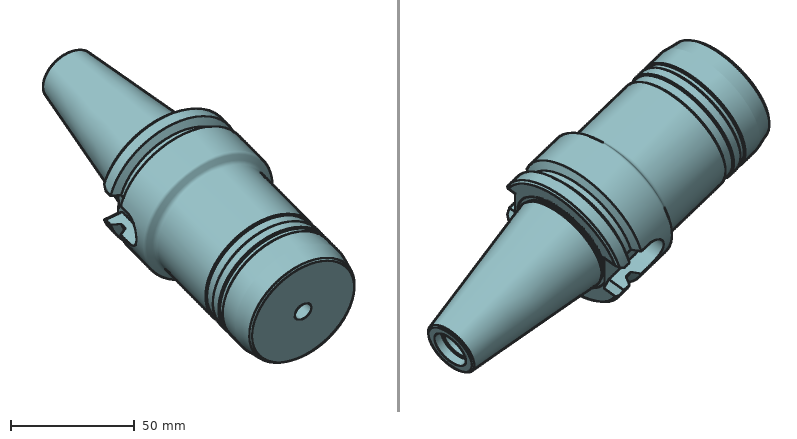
import cadquery as cq
import math


length = 168.2

taper_ratio = 7 / 24
taper_length = 68.0
taper_radius = 22.2
nose_chamfer = 0.7

flange_face = 69.0
relief_floor = 69.5
relief_neck_radius = 21.7
relief_neck_chamfer = 0.5
relief_outer_radius = 23.7

flange_radius = 31.72
flange_chamfer = 1.0
v_groove_center = 79.0
v_groove_floor_width = 3.0
v_groove_floor_radius = 28.1
v_groove_flank_width = (flange_radius - v_groove_floor_radius) * math.tan(math.radians(30))

shoulder_start = 100.0
shoulder_angle = math.radians(60)
shoulder_outer_fillet = 1.7
shoulder_inner_fillet = 2.4

body_radius = 27.51
band_groove_depth = 0.5
band_grooves = ((138.5, 5.2), (147.7, 3.0))
end_taper_start = 159.8
end_taper_radius = 25.9
end_chamfer = 0.8

slot_width = 16.2
slot_arc_center = 87.3
slot_entry_chamfer = 3.0
slot_floor_plus_y = 25.0
slot_floor_minus_y = 22.5

counterbore_radius = 8.4
counterbore_depth = 4.2
pilot_radius = 7.0
pilot_depth = 30.3
through_radius = 4.0
drill_half_angle = math.radians(59)


def draw_shank(profile):
    """Taper, nose chamfer, relief ring and flange face."""
    nose_radius = taper_radius - taper_length * taper_ratio / 2
    chamfer_radius = nose_radius + nose_chamfer * taper_ratio / 2
    return (
        profile.lineTo(0, nose_radius - nose_chamfer)
        .lineTo(nose_chamfer, chamfer_radius)
        .lineTo(taper_length, taper_radius)
        .lineTo(taper_length + relief_neck_chamfer, relief_neck_radius)
        .lineTo(relief_floor, relief_neck_radius)
        .lineTo(relief_floor, relief_outer_radius)
        .lineTo(flange_face, relief_outer_radius)
    )


def draw_flange(profile):
    """Chamfered flange rim interrupted by the V groove."""
    floor_start = v_groove_center - v_groove_floor_width / 2
    floor_end = v_groove_center + v_groove_floor_width / 2
    return (
        profile.lineTo(flange_face, flange_radius - flange_chamfer)
        .lineTo(flange_face + flange_chamfer, flange_radius)
        .lineTo(floor_start - v_groove_flank_width, flange_radius)
        .lineTo(floor_start, v_groove_floor_radius)
        .lineTo(floor_end, v_groove_floor_radius)
        .lineTo(floor_end + v_groove_flank_width, flange_radius)
        .lineTo(shoulder_start, flange_radius)
    )


def draw_shoulder(profile):
    """Convex fillet, 60 degree cone and concave fillet, all tangent."""
    outer = shoulder_outer_fillet
    inner = shoulder_inner_fillet
    sine = math.sin(shoulder_angle)
    cosine = math.cos(shoulder_angle)
    half_sine = math.sin(shoulder_angle / 2)
    half_cosine = math.cos(shoulder_angle / 2)

    cone_start = shoulder_start + outer * sine
    cone_start_radius = flange_radius - outer * (1 - cosine)
    cone_end_radius = body_radius + inner * (1 - cosine)
    cone_end = cone_start + (cone_start_radius - cone_end_radius) / math.tan(shoulder_angle)
    shoulder_end = cone_end + inner * sine

    outer_middle = (shoulder_start + outer * half_sine, flange_radius - outer * (1 - half_cosine))
    inner_middle = (shoulder_end - inner * half_sine, body_radius + inner * (1 - half_cosine))
    return (
        profile.threePointArc(outer_middle, (cone_start, cone_start_radius))
        .lineTo(cone_end, cone_end_radius)
        .threePointArc(inner_middle, (shoulder_end, body_radius))
    )


def draw_body(profile):
    """Cylinder with shallow band grooves, a tapered end and an end chamfer."""
    floor_radius = body_radius - band_groove_depth
    for start, width in band_grooves:
        profile = (
            profile.lineTo(start, body_radius)
            .lineTo(start + band_groove_depth, floor_radius)
            .lineTo(start + width - band_groove_depth, floor_radius)
            .lineTo(start + width, body_radius)
        )
    return (
        profile.lineTo(end_taper_start, body_radius)
        .lineTo(length - end_chamfer, end_taper_radius)
        .lineTo(length, end_taper_radius - end_chamfer)
        .lineTo(length, 0)
    )


def revolve_about_x(profile):
    return profile.close().revolve(360, (0, 0, 0), (1, 0, 0))


def make_turned_body():
    profile = cq.Workplane("XZ").moveTo(0, 0)
    for draw_section in (draw_shank, draw_flange, draw_shoulder, draw_body):
        profile = draw_section(profile)
    return revolve_about_x(profile)


def make_bore():
    """Counterbore, pilot hole with a conical drill end, and through hole."""
    cone_end = pilot_depth + (pilot_radius - through_radius) / math.tan(drill_half_angle)
    profile = (
        cq.Workplane("XY")
        .moveTo(0, 0)
        .lineTo(0, counterbore_radius)
        .lineTo(counterbore_depth, counterbore_radius)
        .lineTo(counterbore_depth, pilot_radius)
        .lineTo(pilot_depth, pilot_radius)
        .lineTo(cone_end, through_radius)
        .lineTo(length, through_radius)
        .lineTo(length, 0)
    )
    return revolve_about_x(profile)


def make_slot(floor, side):
    """Round-ended slot open at the flange face; side is +1 for +Y and -1 for -Y."""
    half_width = slot_width / 2
    entry_half_width = half_width + slot_entry_chamfer
    straight_start = flange_face + slot_entry_chamfer
    outline = (
        cq.Workplane("XZ", origin=(0, side * floor, 0))
        .moveTo(flange_face, -entry_half_width)
        .lineTo(straight_start, -half_width)
        .lineTo(slot_arc_center, -half_width)
        .threePointArc((slot_arc_center + half_width, 0), (slot_arc_center, half_width))
        .lineTo(straight_start, half_width)
        .lineTo(flange_face, entry_half_width)
        .close()
    )
    return outline.extrude(-side * flange_radius)


result = (
    make_turned_body()
    .cut(make_bore())
    .cut(make_slot(slot_floor_plus_y, 1))
    .cut(make_slot(slot_floor_minus_y, -1))
)